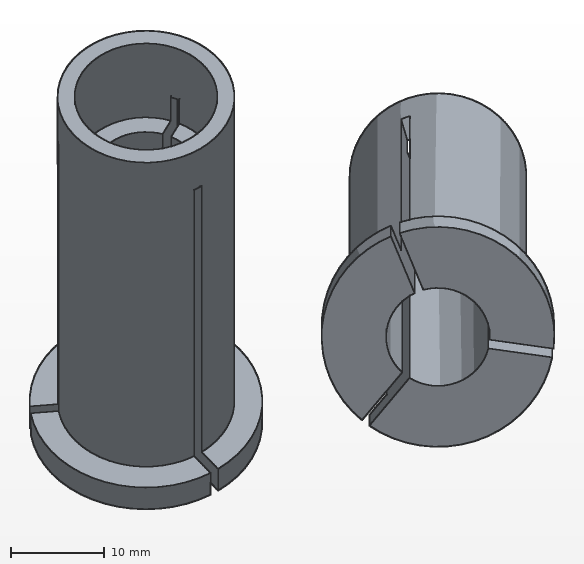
import cadquery as cq
import math

total_height = 52.5
flange_diameter = 25.0
flange_thickness = 3.5
tube_diameter = 19.0

jaw_bore_diameter = 11.15
socket_diameter = 15.35
socket_floor = 40.6

slit_count = 3
slit_width = 1.0
slit_top = 46.4
slit_end_slope = 48.0
first_slit_angle = 90.0


def cylinder(diameter, bottom, top):
    """Solid cylinder on the Z axis between two heights."""
    return cq.Workplane("XY").workplane(offset=bottom).circle(diameter / 2).extrude(top - bottom)


def slit(angle):
    """Cutter running outward from the axis, open at the flange end."""
    tube_radius = tube_diameter / 2
    inner_top = slit_top - tube_radius * math.tan(math.radians(slit_end_slope))
    profile = [
        (0, 0),
        (flange_diameter, 0),
        (flange_diameter, slit_top),
        (tube_radius, slit_top),
        (0, inner_top),
    ]
    blade = cq.Workplane("XZ").polyline(profile).close().extrude(slit_width / 2, both=True)
    return blade.rotate((0, 0, 0), (0, 0, 1), angle)


result = cylinder(flange_diameter, 0, flange_thickness)
result = result.union(cylinder(tube_diameter, 0, total_height))

result = result.cut(cylinder(jaw_bore_diameter, 0, total_height))
result = result.cut(cylinder(socket_diameter, socket_floor, total_height))

for index in range(slit_count):
    result = result.cut(slit(first_slit_angle + index * 360 / slit_count))